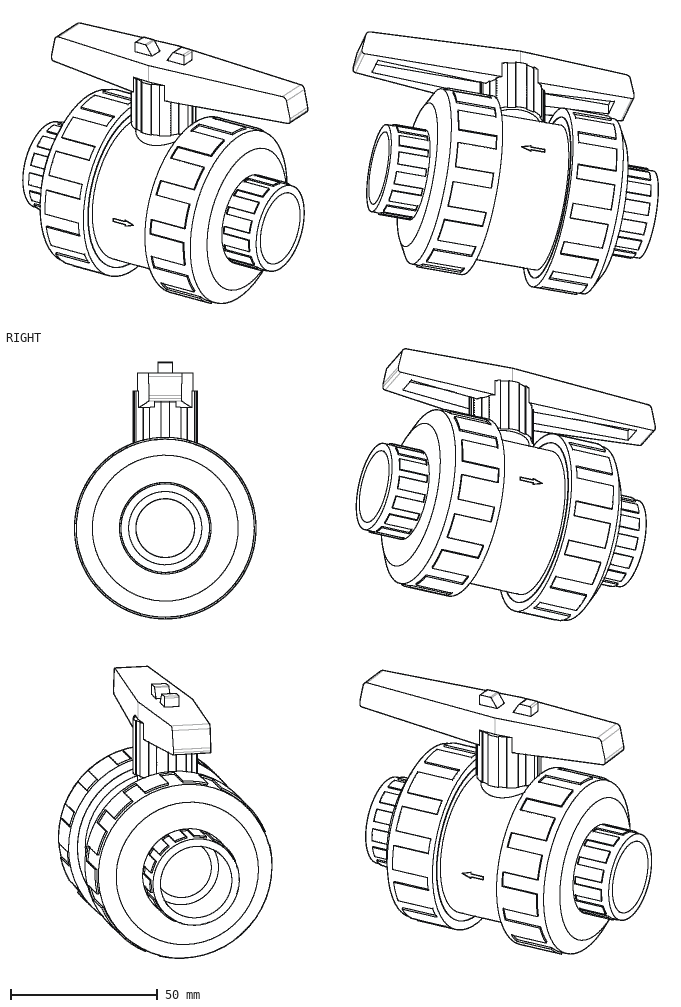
import cadquery as cq
import math


overall_length = 102.5
body_length = 94.9
half_length = body_length / 2
body_diameter = 50.2
barrel_end_x = 16.4
bore_diameter = 20.0
socket_diameter = 25.0
socket_depth = 20.5
pipe_diameter = 30.2

nut_diameter = 60.8
nut_face_diameter = 49.8
nut_inner_x = 12.5
nut_outer_x = 33.8
nut_cone_length = 3.3
nut_recess_diameter = 55.8
nut_recess_depth = 0.2

nut_rib_diameter = 62.0
nut_rib_end_x = 28.1
pipe_rib_diameter = 31.3
pipe_rib_end_x = 44.7
pipe_collar_end_x = 34.4
nut_collar_width = 2.0
rib_gap_count = 14
rib_gap_angle = 9.6
first_gap_angle = -7.8

neck_diameter = 19.0
spline_diameter = 22.1
spline_bottom_z = 27.9
spline_top_z = 46.8
spline_count = 10
spline_groove_width = 2.9
spline_groove_floor = 10.6

handle_left_x = -41.3
handle_right_x = overall_length - half_length
handle_top_z = 53.0
handle_tip_bottom_z = 43.4
handle_middle_bottom_z = 40.8
handle_half_width = 9.5
handle_side_taper = 0.072
handle_end_lean = 1.6
handle_lean_start_z = 45.3
handle_top_round = 1.6
handle_bottom_round = 0.9
underside_slot_width = 7.2
underside_slot_margin = 6.2

lug_top_z = 56.63
lug_width = 5.0
lug_outer_x = 10.0
lug_inner_top_x = 5.5
lug_inner_base_x = 3.1
lug_round = 0.5

arrow_length = 8.2
arrow_head_length = 3.4
arrow_head_width = 2.3
arrow_shaft_width = 1.1
arrow_height = 0.2


def cylinder_x(diameter, start_x, end_x):
    return cq.Workplane("YZ").workplane(offset=start_x).circle(diameter / 2).extrude(end_x - start_x)


def cylinder_z(diameter, start_z, end_z):
    return cq.Workplane("XY").workplane(offset=start_z).circle(diameter / 2).extrude(end_z - start_z)


def rib_gap(radius, middle_angle, start_x, end_x):
    """Wedge along X with its tip on the axis and its far corners outside the radius."""
    reach = 1.1 * radius
    first_angle = math.radians(middle_angle - rib_gap_angle / 2)
    last_angle = math.radians(middle_angle + rib_gap_angle / 2)
    return (
        cq.Workplane("YZ")
        .workplane(offset=start_x)
        .lineTo(reach * math.cos(first_angle), reach * math.sin(first_angle))
        .lineTo(reach * math.cos(last_angle), reach * math.sin(last_angle))
        .close()
        .extrude(end_x - start_x)
    )


def ribbed_sleeve(root_diameter, rib_diameter, collar_start_x, collar_end_x, rib_end_x):
    """Collar with ribs running out from it along X, split by equal gaps."""
    sleeve = cylinder_x(rib_diameter, collar_start_x, rib_end_x)
    core = cylinder_x(root_diameter, collar_end_x, rib_end_x)
    for index in range(rib_gap_count):
        middle = first_gap_angle + index * 360 / rib_gap_count
        sleeve = sleeve.cut(rib_gap(rib_diameter / 2, middle, collar_end_x, rib_end_x))
    return sleeve.union(core)


def valve_end():
    """Nut and pipe end on the +X side."""
    nut = cylinder_x(nut_diameter, nut_inner_x, nut_outer_x - nut_cone_length)
    cone = (
        cq.Workplane("YZ")
        .workplane(offset=nut_outer_x - nut_cone_length)
        .circle(nut_diameter / 2)
        .workplane(offset=nut_cone_length)
        .circle(nut_face_diameter / 2)
        .loft()
    )
    nut_sleeve = ribbed_sleeve(
        nut_diameter, nut_rib_diameter, nut_inner_x, nut_inner_x + nut_collar_width, nut_rib_end_x
    )
    pipe = cylinder_x(pipe_diameter, nut_inner_x, half_length)
    pipe_sleeve = ribbed_sleeve(
        pipe_diameter, pipe_rib_diameter, nut_inner_x, pipe_collar_end_x, pipe_rib_end_x
    )
    recess = cylinder_x(nut_recess_diameter, nut_inner_x, nut_inner_x + nut_recess_depth)
    return nut.union(cone).union(nut_sleeve).cut(recess).union(pipe).union(pipe_sleeve)


def flow_arrow(side):
    """Arrow pointing to +X, standing slightly proud of the body; side is -1 for -Y and 1 for +Y."""
    tail_x = -arrow_length / 2
    tip_x = arrow_length / 2
    neck_x = tip_x - arrow_head_length
    prism = (
        cq.Workplane("XZ")
        .moveTo(tail_x, -arrow_shaft_width / 2)
        .lineTo(neck_x, -arrow_shaft_width / 2)
        .lineTo(neck_x, -arrow_head_width / 2)
        .lineTo(tip_x, 0)
        .lineTo(neck_x, arrow_head_width / 2)
        .lineTo(neck_x, arrow_shaft_width / 2)
        .lineTo(tail_x, arrow_shaft_width / 2)
        .close()
        .extrude(-side * body_diameter)
    )
    return prism.intersect(cylinder_x(body_diameter + 2 * arrow_height, tail_x, tip_x))


def splined_stem():
    """Neck rising from the bore wall and a wider top part with flat-bottomed grooves all round."""
    neck = cylinder_z(neck_diameter, bore_diameter / 2, spline_bottom_z)
    splines = cylinder_z(spline_diameter, spline_bottom_z, spline_top_z)
    groove = (
        cq.Workplane("XY")
        .workplane(offset=spline_bottom_z)
        .center(spline_groove_floor, 0)
        .rect(spline_diameter, spline_groove_width)
        .extrude(spline_top_z - spline_bottom_z)
        .translate((spline_diameter / 2, 0, 0))
    )
    for index in range(spline_count):
        turn = index * 360 / spline_count
        splines = splines.cut(groove.rotate((0, 0, 0), (0, 0, 1), turn))
    return neck.union(splines)


def handle():
    """Bar widest and deepest at the stem, with a slot along its underside."""
    profile = (
        cq.Workplane("XZ")
        .moveTo(handle_left_x, handle_tip_bottom_z)
        .lineTo(0, handle_middle_bottom_z)
        .lineTo(handle_right_x, handle_tip_bottom_z)
        .lineTo(handle_right_x, handle_lean_start_z)
        .lineTo(handle_right_x - handle_end_lean, handle_top_z)
        .lineTo(handle_left_x + handle_end_lean, handle_top_z)
        .lineTo(handle_left_x, handle_lean_start_z)
        .close()
        .extrude(handle_half_width, both=True)
    )
    profile = profile.faces(">Z").edges("|Y").fillet(handle_top_round)
    for end in ("<X", ">X"):
        profile = profile.faces(end).edges("|Y").edges("<Z").fillet(handle_bottom_round)

    left_half_width = handle_half_width + handle_side_taper * handle_left_x
    right_half_width = handle_half_width - handle_side_taper * handle_right_x
    plan = (
        cq.Workplane("XY")
        .moveTo(handle_left_x, -left_half_width)
        .lineTo(0, -handle_half_width)
        .lineTo(handle_right_x, -right_half_width)
        .lineTo(handle_right_x, right_half_width)
        .lineTo(0, handle_half_width)
        .lineTo(handle_left_x, left_half_width)
        .close()
        .extrude(handle_top_z)
    )
    slot_length = handle_right_x - handle_left_x - 2 * underside_slot_margin
    slot = (
        cq.Workplane("XY")
        .center((handle_left_x + handle_right_x) / 2, 0)
        .rect(slot_length, underside_slot_width)
        .extrude(spline_top_z)
    )
    return profile.intersect(plan).cut(slot)


def handle_lug():
    """Lug on the +X side, upright outside and sloping towards the stem axis."""
    return (
        cq.Workplane("XZ")
        .moveTo(lug_inner_base_x, handle_top_z)
        .lineTo(lug_outer_x, handle_top_z)
        .lineTo(lug_outer_x, lug_top_z)
        .lineTo(lug_inner_top_x, lug_top_z)
        .close()
        .extrude(lug_width / 2, both=True)
        .faces(">Z")
        .edges("|Y")
        .fillet(lug_round)
    )


body = cylinder_x(body_diameter, -barrel_end_x, barrel_end_x)
body = body.union(splined_stem())
for turn in (0, 180):
    body = body.union(valve_end().rotate((0, 0, 0), (0, 0, 1), turn))
for side in (-1, 1):
    body = body.union(flow_arrow(side))

body = body.union(handle())
for turn in (0, 180):
    body = body.union(handle_lug().rotate((0, 0, 0), (0, 0, 1), turn))

body = body.cut(cylinder_x(bore_diameter, -half_length, half_length))
body = body.cut(cylinder_x(socket_diameter, half_length - socket_depth, half_length))
body = body.cut(cylinder_x(socket_diameter, -half_length, socket_depth - half_length))

result = body